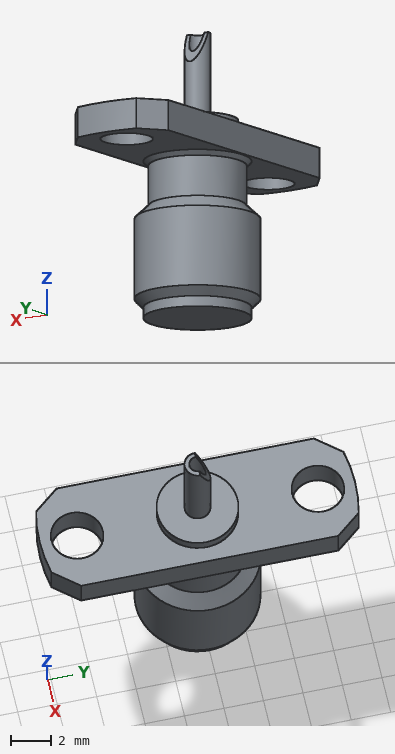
import cadquery as cq

flange_length = 15.96
flange_width = 5.62
flange_thickness = 1.53
end_width = 3.51
straight_side_length = 13.02
mount_hole_diameter = 2.6
mount_hole_spacing = 12.2

boss_diameter = 4.05
boss_height = 0.53
pin_diameter = 1.3
pin_length = 4.42
pin_bore_diameter = 0.81
pin_bore_depth = 3.19
pin_cut_height = 1.53

barrel_radius = 3.13
neck_radius = 2.44
collar_radius = 2.68
tip_radius = 2.68
collar_taper_height = 0.24
neck_end_depth = 2.28
shoulder_height = 0.65
tip_taper_height = 0.45
tip_height = 0.53
barrel_depth = 7.95

boss_top = flange_thickness + boss_height
pin_top = boss_top + pin_length


def make_flange():
    """Disc trimmed to a long octagon, so that its short ends stay round."""
    half_width = flange_width / 2
    half_end = end_width / 2
    half_side = straight_side_length / 2
    disc_radius = flange_length / 2
    end_corner_y = (disc_radius**2 - half_end**2) ** 0.5
    return (
        cq.Workplane("XY")
        .moveTo(half_width, -half_side)
        .lineTo(half_width, half_side)
        .lineTo(half_end, end_corner_y)
        .threePointArc((0, disc_radius), (-half_end, end_corner_y))
        .lineTo(-half_width, half_side)
        .lineTo(-half_width, -half_side)
        .lineTo(-half_end, -end_corner_y)
        .threePointArc((0, -disc_radius), (half_end, -end_corner_y))
        .close()
        .extrude(flange_thickness)
        .faces(">Z")
        .workplane(origin=(0, 0, 0))
        .rarray(0.16, mount_hole_spacing, 1, 2)
        .hole(mount_hole_diameter)
    )


def make_barrel():
    """Turned body: collar, neck, shoulder, barrel and reduced tip."""
    tip_start = -barrel_depth + tip_height
    profile = [
        (0, 0),
        (collar_radius, 0),
        (neck_radius, -collar_taper_height),
        (neck_radius, -neck_end_depth),
        (barrel_radius, -neck_end_depth - shoulder_height),
        (barrel_radius, tip_start + tip_taper_height),
        (tip_radius, tip_start),
        (tip_radius, -barrel_depth),
        (0, -barrel_depth),
    ]
    return cq.Workplane("XZ").polyline(profile).close().revolve(360, (0, 0), (0, 1))


def make_boss():
    base = cq.Workplane("XY").workplane(offset=flange_thickness)
    return base.circle(boss_diameter / 2).extrude(boss_height)


def make_pin():
    """Pin with a cone-bottomed bore and the +Y side of its top cut away at a slant."""
    pin_radius = pin_diameter / 2
    bore_radius = pin_bore_diameter / 2
    bore_bottom = pin_top - pin_bore_depth
    pin = cq.Workplane("XY").workplane(offset=boss_top).circle(pin_radius).extrude(pin_length)
    bore = (
        cq.Workplane("XZ")
        .polyline([
            (0, bore_bottom - bore_radius),
            (bore_radius, bore_bottom),
            (bore_radius, pin_top),
            (0, pin_top),
        ])
        .close()
        .revolve(360, (0, 0), (0, 1))
    )
    slant = (
        cq.Workplane("YZ")
        .polyline([(0, pin_top), (pin_radius, pin_top - pin_cut_height), (pin_radius, pin_top)])
        .close()
        .extrude(pin_radius, both=True)
    )
    return pin.cut(bore).cut(slant)


result = make_flange().union(make_barrel()).union(make_boss()).union(make_pin())